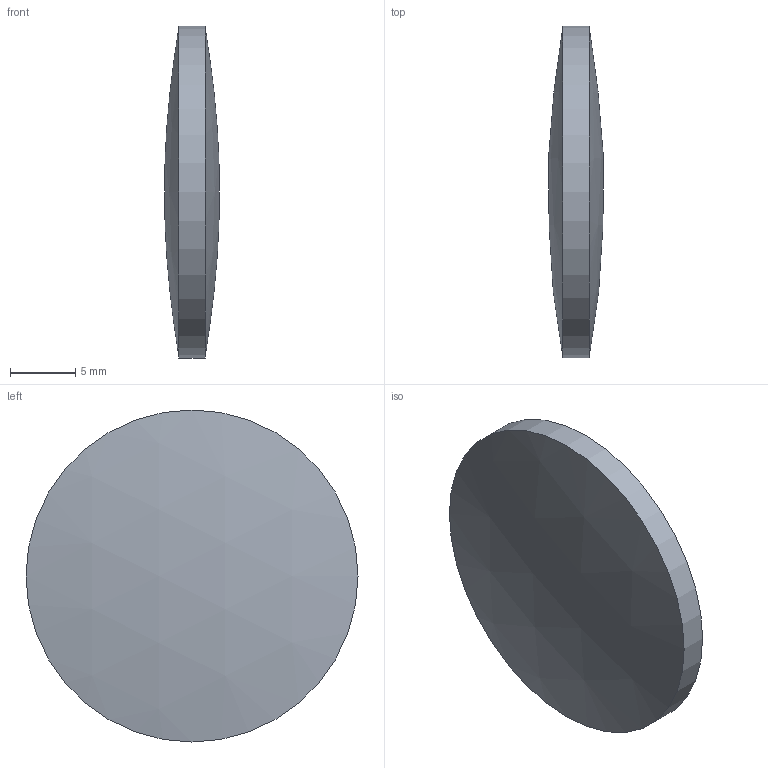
import cadquery as cq

diameter = 25.4
centre_thickness = 4.3
edge_thickness = 2.0

radius = diameter / 2
sag = (centre_thickness - edge_thickness) / 2
surface_radius = (radius**2 + sag**2) / (2 * sag)


def lens_blank():
    """Cylinder that carries the rim, longer than the lens so both ends are trimmed by the faces."""
    blank_length = 2 * centre_thickness
    start_plane = cq.Plane(origin=(-blank_length / 2, 0, 0), xDir=(0, 0, 1), normal=(1, 0, 0))
    return cq.Workplane(start_plane).circle(radius).extrude(blank_length)


def surface_ball(side):
    """Ball whose surface forms the convex face on the +X (side=1) or -X (side=-1) end."""
    ball_centre_x = side * (centre_thickness / 2 - surface_radius)
    ball_plane = cq.Plane(origin=(ball_centre_x, 0, 0), xDir=(-side, 0, 0), normal=(0, 1, 0))
    return cq.Workplane(ball_plane).sphere(surface_radius)


result = lens_blank()
for side in (-1, 1):
    result = result.intersect(surface_ball(side))